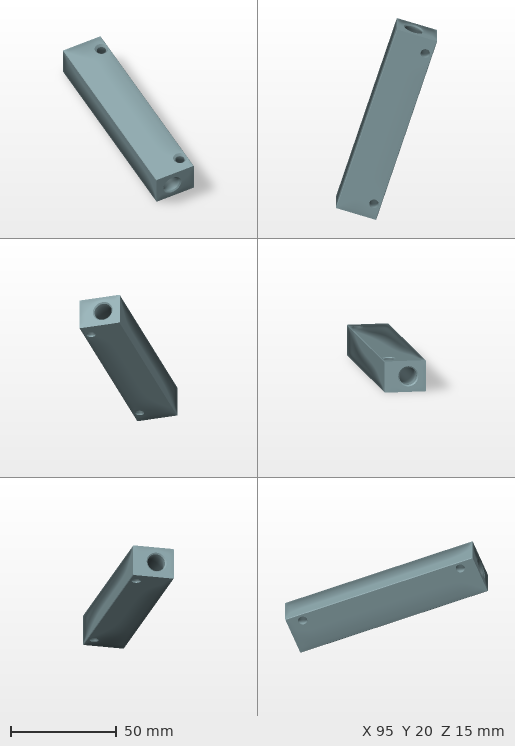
import cadquery as cq

length = 95.0
width = 20.0
height = 15.0
long_edge_chamfer = 0.3

bore_diameter = 8.5
bore_mouth_diameter = 9.7
bore_offset_y = -1.5

hole_diameter = 4.4
countersink_diameter = 6.5
countersink_angle = 90.0
hole_spacing = 80.0
hole_edge_distance = 3.5


def make_block():
    """Block with its four long edges broken."""
    block = cq.Workplane("XY").box(length, width, height)
    return block.edges("|X").chamfer(long_edge_chamfer)


def make_bore():
    """Through bore along X with a 45 degree chamfer at each mouth."""
    bore_radius = bore_diameter / 2
    mouth_radius = bore_mouth_diameter / 2
    chamfer = mouth_radius - bore_radius
    half_length = length / 2
    profile = (
        cq.Workplane("XY")
        .moveTo(-half_length, 0)
        .lineTo(-half_length, mouth_radius)
        .lineTo(-half_length + chamfer, bore_radius)
        .lineTo(half_length - chamfer, bore_radius)
        .lineTo(half_length, mouth_radius)
        .lineTo(half_length, 0)
        .close()
    )
    bore = profile.revolve(360, (0, 0, 0), (1, 0, 0))
    return bore.translate((0, bore_offset_y, 0))


def cut_mounting_holes(body):
    """Through holes countersunk from the top face."""
    hole_y = width / 2 - hole_edge_distance
    positions = [(side * hole_spacing / 2, hole_y) for side in (-1, 1)]
    return (
        body.faces(">Z")
        .workplane(origin=(0, 0, height / 2))
        .pushPoints(positions)
        .cskHole(hole_diameter, countersink_diameter, countersink_angle)
    )


result = cut_mounting_holes(make_block().cut(make_bore()))